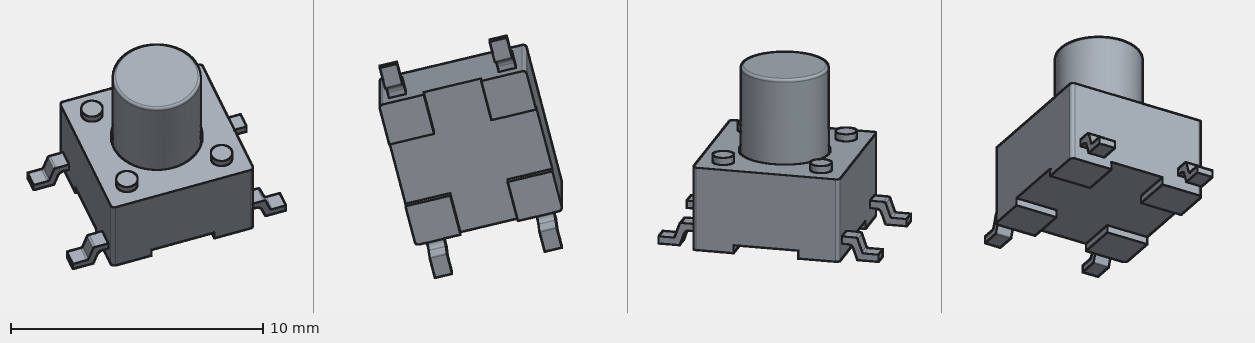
import cadquery as cq
import math

overall_length = 9.0
overall_height = 7.0

body_side = 6.0
body_corner_radius = 0.15
body_height = 3.46
lid_thickness = 0.33
lid_hole_diameter = 3.64

channel_depth = 0.33
channel_width_along_x = 2.34
channel_width_along_y = 2.65

plunger_diameter = 3.5
plunger_edge_radius = 0.12
rivet_diameter = 0.855
rivet_height = 0.3
rivet_offset = 2.0

lead_width = 0.7
lead_offset_x = 2.24
lead_thickness = 0.31
lead_top = 0.945
lead_slope_angle = 70.5
foot_length = 0.86
knee_outer_radius = 0.1
knee_inner_radius = 0.25
foot_bend_radius = 0.09
heel_radius = 0.04
lead_embed = 0.18


def make_housing():
    housing = cq.Workplane("XY").rect(body_side, body_side).extrude(body_height)
    housing = housing.edges("|Z").fillet(body_corner_radius)
    channel_sizes = [
        (channel_width_along_x, overall_length),
        (overall_length, channel_width_along_y),
    ]
    for size_x, size_y in channel_sizes:
        housing = housing.cut(cq.Workplane("XY").rect(size_x, size_y).extrude(channel_depth))
    lid_hole = (
        cq.Workplane("XY")
        .workplane(offset=body_height - lid_thickness)
        .circle(lid_hole_diameter / 2)
        .extrude(lid_thickness)
    )
    return housing.cut(lid_hole)


def make_plunger():
    floor = body_height - lid_thickness
    return (
        cq.Workplane("XY")
        .workplane(offset=floor)
        .circle(plunger_diameter / 2)
        .extrude(overall_height - floor)
        .faces(">Z")
        .edges()
        .fillet(plunger_edge_radius)
    )


def make_rivets():
    return (
        cq.Workplane("XY")
        .workplane(offset=body_height)
        .rect(2 * rivet_offset, 2 * rivet_offset, forConstruction=True)
        .vertices()
        .circle(rivet_diameter / 2)
        .extrude(rivet_height)
    )


def make_lead(center_x):
    """One lead on the -Y side: a foot on the ground, a slope, and a shank into the housing."""
    slope = math.radians(lead_slope_angle)
    toe_y = -overall_length / 2
    root_y = -body_side / 2 + lead_embed
    heel_y = toe_y + foot_length
    shank_bottom = lead_top - lead_thickness

    instep_y = heel_y - lead_thickness * math.tan(slope / 2)
    knee_y = instep_y + shank_bottom / math.tan(slope)
    inner_knee_y = heel_y + shank_bottom / math.tan(slope)
    outline = [
        (toe_y, 0),
        (heel_y, 0),
        (inner_knee_y, shank_bottom),
        (root_y, shank_bottom),
        (root_y, lead_top),
        (knee_y, lead_top),
        (instep_y, lead_thickness),
        (toe_y, lead_thickness),
    ]
    lead = (
        cq.Workplane("YZ")
        .workplane(offset=center_x - lead_width / 2)
        .polyline(outline)
        .close()
        .extrude(lead_width)
    )
    bends = [
        (heel_y, 0, heel_radius),
        (inner_knee_y, shank_bottom, knee_inner_radius),
        (knee_y, lead_top, knee_outer_radius),
        (instep_y, lead_thickness, foot_bend_radius),
    ]
    for y, z, radius in bends:
        lead = lead.edges(cq.selectors.NearestToPointSelector((center_x, y, z))).fillet(radius)
    return lead


result = make_housing().union(make_plunger()).union(make_rivets())
for center_x in (-lead_offset_x, lead_offset_x):
    lead = make_lead(center_x)
    result = result.union(lead).union(lead.mirror("XZ"))